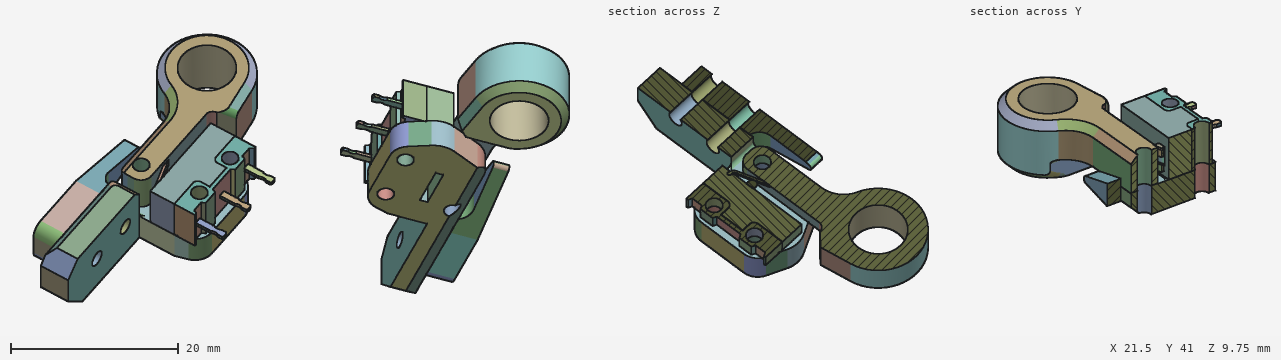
import cadquery as cq
import math

tolerance = 0.05

bar_width = 3.98
bar_top = 9.0
bar_end_y = -35.0
bar_rear_y = -20.0
shelf_top = 3.98
edge_chamfer = 1.0
corner_radius = 1.0
screw_diameter = 2.0
screw_x = 2.0
screw_y = -16.75
cross_hole_ys = (-22.95, -28.95)
cross_hole_z = 5.0

ring_radius = 6.0
ring_bore = 7.0
ring_bottom = 1.0
ring_front_y = -5.0
neck_radius = 4.0
arm_end_y = -19.0
arm_end_radius = 1.5
lobe_tangent_angle = math.radians(8.5)
lobe_inner_radius = 0.9
step_radius = 0.5

bar_nose_top = 2.0
bar_nose_bottom = 3.0
lower_chamfer = 2.0
shelf_fillet = 0.5
shelf_right_x = 12.5
shelf_peak = (7.1, -6.2)
shelf_slope = math.tan(math.radians(25))
shelf_front_rise = 1.02
shelf_left_radius = 3.5
shelf_right_radius = 2.5
slot_left_x = 5.35
slot_width = 1.0
slot_y_min = -16.4
slot_y_max = -11.25

wing_thickness = 3.5
wing_blade = 2.0
wing_tip_y = -12.1
wing_front_y = -31.5
wing_taper_y = -22.5
wing_half_height = 3.0
wing_tip_half_height = 0.4
wing_tip_radius = 0.5
wing_corner_radius = 1.5
wing_relief_radius = 2.0
wing_relief_y = -18.57

switch_left_x = 5.55
switch_right_x = 12.0
switch_top = 9.75
switch_length = 12.75
switch_mid_y = bar_rear_y + switch_length / 2
switch_mid_z = (shelf_top + switch_top) / 2
parting_x = 9.0
tongue_x = 11.0
mount_x = 10.5
mount_offset = 3.25
mount_ys = (switch_mid_y - mount_offset, switch_mid_y + mount_offset)
mount_wall_radius = 1.48
tongue_corner_radius = 0.65
rear_recess_x = 11.52
recess_slant = 0.25
mid_recess_half = 1.9
end_recess_near = 4.35
end_recess_far = 5.82

plunger_left_x = 4.55
plunger_y_min = -16.15
plunger_y_max = -14.95
plunger_height = 2.55
lever_slot_height = 1.05
plunger_radius = 0.57
lever_height = 3.08
lever_thickness = 0.35
lever_foot_y = -18.78
lever_angle = math.radians(17.5)
lever_bend_x = 5.4
lever_bend_radius = 0.35
lever_root_depth = 0.5
terminal_tip_x = 15.5
terminal_width = 0.85
terminal_thickness = 0.45
terminal_pitch = 5.1
neck_start_x = 13.7
neck_end_x = 14.7
neck_depth = 0.145
tip_bulge = 0.12


def block(x_min, x_max, y_min, y_max, z_min, z_max):
    """Axis-aligned box given by its limits."""
    size = (x_max - x_min, y_max - y_min, z_max - z_min)
    return cq.Workplane("XY").box(*size, centered=False).translate((x_min, y_min, z_min))


def upright_hole(x, y, diameter=screw_diameter):
    """Vertical cutter longer than the whole assembly is high."""
    return cq.Workplane("XY").center(x, y).circle(diameter / 2).extrude(switch_top)


def cross_holes():
    """The two holes along X through the wing and the bar."""
    points = [(y, cross_hole_z) for y in cross_hole_ys]
    return (
        cq.Workplane("YZ", origin=(-wing_thickness, 0, 0))
        .pushPoints(points)
        .circle(screw_diameter / 2)
        .extrude(wing_thickness + bar_width)
    )


def edges_in_box(x_limits, y_limits, z_limits):
    """Selector for the edges whose middle lies inside the box."""
    lows, highs = zip(x_limits, y_limits, z_limits)
    return cq.selectors.BoxSelector(lows, highs)


def vertical_edge_at(x, y):
    """Selector for the vertical edge through (x, y)."""
    return edges_in_box(
        (x - tolerance, x + tolerance),
        (y - tolerance, y + tolerance),
        (0, switch_top),
    )


def hollow_fillet(plane, corner, radius, side=1):
    """Section of a hollow fillet; side = 1 fills right of and above the corner, -1 left of and below."""
    across, up = corner
    reach = side * radius
    bend = reach * (1 - math.sqrt(0.5))
    return (
        cq.Workplane(plane)
        .moveTo(across, up)
        .lineTo(across + reach, up)
        .threePointArc((across + bend, up + bend), (across, up + reach))
        .close()
    )


def arm_plan():
    """Closed plan of ring, neck and right-hand lobe, together with the tip point of the lobe."""
    neck_y = -math.sqrt((ring_radius + neck_radius) ** 2 - neck_radius**2)
    neck_share = ring_radius / (ring_radius + neck_radius)
    neck_join = (-neck_radius * neck_share, neck_y * neck_share)
    neck_turn = math.atan2(-neck_y, neck_radius) / 2
    neck_mid = (
        -neck_radius + neck_radius * math.cos(neck_turn),
        neck_y + neck_radius * math.sin(neck_turn),
    )
    lobe_start = (
        ring_radius * math.cos(lobe_tangent_angle),
        ring_radius * math.sin(lobe_tangent_angle),
    )
    slant_start = (bar_width + lobe_inner_radius, ring_front_y)
    cos_a = math.cos(lobe_tangent_angle)
    sin_a = math.sin(lobe_tangent_angle)
    slant_run = (ring_radius - slant_start[0] * cos_a - slant_start[1] * sin_a) / (cos_a + sin_a)
    lobe_tip = (slant_start[0] + slant_run, slant_start[1] + slant_run)
    fillet_turn = lobe_inner_radius * (1 - math.sqrt(0.5))
    plan = (
        cq.Workplane("XY")
        .moveTo(0, arm_end_y)
        .lineTo(0, neck_y)
        .threePointArc(neck_mid, neck_join)
        .threePointArc((0, ring_radius), lobe_start)
        .lineTo(*lobe_tip)
        .lineTo(*slant_start)
        .threePointArc(
            (bar_width + fillet_turn, ring_front_y - fillet_turn),
            (bar_width, ring_front_y - lobe_inner_radius),
        )
        .lineTo(bar_width, arm_end_y)
        .close()
    )
    return plan, lobe_tip


def rim_edges(z):
    """Left side, neck, ring and lobe side of the arm outline at height z."""
    z_limits = (z - tolerance, z + tolerance)
    left_side = edges_in_box((-ring_radius, edge_chamfer), (arm_end_y, ring_radius), z_limits)
    lobe_side = edges_in_box((edge_chamfer, 2 * ring_radius), (-ring_radius / 2, ring_radius), z_limits)
    return left_side + lobe_side


def make_arm():
    """Chamfered clamp ring on a flat arm, bored for the shaft and drilled for the screw."""
    plan, lobe_tip = arm_plan()
    arm = plan.extrude(bar_top - ring_bottom).translate((0, 0, ring_bottom))
    arm = arm.edges(rim_edges(bar_top)).chamfer(edge_chamfer)
    arm = arm.edges(rim_edges(ring_bottom)).chamfer(edge_chamfer)
    outer_shape = arm
    arm = arm.cut(block(-bar_width, 2 * bar_width, 2 * arm_end_y, ring_front_y, 0, shelf_top))
    step_corner = edges_in_box(
        (-ring_radius, 0),
        (ring_front_y - tolerance, ring_front_y + tolerance),
        (ring_bottom + tolerance, ring_bottom + edge_chamfer),
    )
    arm = arm.edges(step_corner).fillet(corner_radius)
    step = hollow_fillet("YZ", (ring_front_y, shelf_top), step_radius, -1).extrude(ring_radius, both=True)
    arm = arm.union(step.intersect(outer_shape))
    tip_x, tip_y = lobe_tip
    tip_edges = edges_in_box(
        (tip_x - edge_chamfer, tip_x),
        (tip_y - edge_chamfer, tip_y),
        (bar_top - edge_chamfer + tolerance, bar_top - tolerance),
    )
    arm = arm.edges(tip_edges).fillet(corner_radius)
    end_corners = vertical_edge_at(0, arm_end_y) + vertical_edge_at(bar_width, arm_end_y)
    arm = arm.edges(end_corners).fillet(arm_end_radius)
    bore = upright_hole(0, 0, ring_bore)
    return arm.cut(bore).cut(upright_hole(screw_x, screw_y))


def make_bar():
    """Long bar, chamfered on the left and at the nose, and rounded where the rear and left chamfers meet."""
    bar = block(0, bar_width, bar_end_y, bar_rear_y, 0, bar_top)
    bar = bar.edges(">Y and >Z").chamfer(edge_chamfer)
    bar = bar.edges("<Y and >Z").chamfer(bar_nose_top)
    bar = bar.edges("<Y and <Z").chamfer(bar_nose_bottom)
    left_wedge = (
        cq.Workplane("XZ")
        .polyline([(0, bar_top - edge_chamfer), (edge_chamfer, bar_top), (0, bar_top)])
        .close()
        .extrude(-bar_end_y)
    )
    bar = bar.cut(left_wedge)
    rear_corner = edges_in_box(
        (0, edge_chamfer),
        (bar_rear_y - edge_chamfer, bar_rear_y),
        (bar_top - edge_chamfer + tolerance, bar_top - tolerance),
    )
    return bar.edges(rear_corner).fillet(corner_radius)


def make_shelf():
    """Flat shelf behind the bar that carries the arm and the switch."""
    peak_x, peak_y = shelf_peak
    left_y = peak_y - peak_x * shelf_slope
    right_y = peak_y - (shelf_right_x - peak_x) * shelf_slope
    lower_right_y = bar_rear_y + shelf_front_rise
    outline = [
        (0, bar_rear_y),
        (parting_x, bar_rear_y),
        (shelf_right_x, lower_right_y),
        (shelf_right_x, right_y),
        shelf_peak,
        (0, left_y),
    ]
    shelf = cq.Workplane("XY").polyline(outline).close().extrude(shelf_top)
    shelf = shelf.edges(vertical_edge_at(0, left_y) + vertical_edge_at(*shelf_peak)).fillet(shelf_left_radius)
    right_corners = vertical_edge_at(shelf_right_x, lower_right_y) + vertical_edge_at(shelf_right_x, right_y)
    shelf = shelf.edges(right_corners).fillet(shelf_right_radius)
    slot = block(slot_left_x, slot_left_x + slot_width, slot_y_min, slot_y_max, 0, shelf_top)
    return shelf.cut(slot)


def shelf_root_fillet():
    """Hollow fillet between the shelf and the rear of the bar, mitred round the bar's right edge."""
    behind_bar = hollow_fillet("YZ", (bar_rear_y, shelf_top), shelf_fillet).extrude(bar_width + shelf_fillet)
    mitre = hollow_fillet("XZ", (bar_width, shelf_top), shelf_fillet).extrude(bar_rear_y * 2, both=True)
    mitre = mitre.union(block(0, bar_width, 2 * bar_rear_y, 0, shelf_top, bar_top))
    return behind_bar.intersect(mitre)


def make_bracket():
    """Bar and shelf in one piece, with the drilled holes and the long lower chamfer."""
    bracket = make_bar().union(make_shelf()).union(shelf_root_fillet())
    lower_wedge = (
        cq.Workplane("XZ")
        .polyline([(0, 0), (lower_chamfer, 0), (0, lower_chamfer)])
        .close()
        .extrude(-bar_end_y)
    )
    bracket = bracket.cut(lower_wedge).cut(cross_holes())
    for mount_y in mount_ys:
        bracket = bracket.cut(upright_hole(mount_x, mount_y))
    return bracket.cut(upright_hole(screw_x, screw_y))


def make_wing():
    """Tapered plate beside the bar, thinned to a blade where it passes the arm."""
    top = cross_hole_z + wing_half_height
    bottom = cross_hole_z - wing_half_height
    outline = [
        (wing_front_y, bottom),
        (wing_taper_y, bottom),
        (wing_tip_y, cross_hole_z - wing_tip_half_height),
        (wing_tip_y, cross_hole_z + wing_tip_half_height),
        (wing_taper_y, top),
        (wing_front_y, top),
    ]
    outer_side = cq.Workplane("YZ", origin=(-wing_thickness, 0, 0))
    wing = outer_side.polyline(outline).close().extrude(wing_thickness)
    wing = wing.edges("|X and <Y").fillet(wing_corner_radius)
    wing = wing.edges("|X and >Y").fillet(wing_tip_radius)
    blade_x = wing_blade - wing_thickness
    relief = block(blade_x, 0, wing_relief_y, 0, 0, bar_top)
    relief_round = (
        cq.Workplane("XY")
        .center(blade_x + wing_relief_radius, wing_relief_y)
        .circle(wing_relief_radius)
        .extrude(bar_top)
    )
    return wing.cut(relief).cut(relief_round).cut(cross_holes())


def case_region():
    """Front half of the switch plus the tongue between the two mounting holes."""
    front = block(
        switch_left_x, parting_x, bar_rear_y, bar_rear_y + switch_length, shelf_top, switch_top
    )
    tongue_half = mount_offset - mount_wall_radius
    tongue = block(
        parting_x, tongue_x, switch_mid_y - tongue_half, switch_mid_y + tongue_half, shelf_top, switch_top
    )
    region = front.union(tongue)
    for side in (-1, 1):
        region = region.edges(vertical_edge_at(parting_x, switch_mid_y + side * tongue_half)).fillet(
            tongue_corner_radius
        )
    return region


def make_case():
    """Switch case with a pocket for the root of the lever."""
    return case_region().cut(lever_blank())


def rear_recess(y_near, y_far):
    """Recess with slanted ends in the back of the switch cover."""
    outline = [
        (switch_right_x, y_near - recess_slant),
        (rear_recess_x, y_near),
        (rear_recess_x, y_far),
        (switch_right_x, y_far + recess_slant),
    ]
    return (
        cq.Workplane("XY", origin=(0, 0, shelf_top))
        .polyline(outline)
        .close()
        .extrude(switch_top - shelf_top)
    )


def make_cover():
    """Back half of the switch with its mounting holes and terminal recesses."""
    cover = block(
        parting_x, switch_right_x, bar_rear_y, bar_rear_y + switch_length, shelf_top, switch_top
    ).cut(case_region())
    cover = cover.cut(rear_recess(switch_mid_y - mid_recess_half, switch_mid_y + mid_recess_half))
    cover = cover.cut(rear_recess(switch_mid_y + end_recess_near, switch_mid_y + end_recess_far))
    cover = cover.cut(rear_recess(switch_mid_y - end_recess_far, switch_mid_y - end_recess_near))
    for mount_y in mount_ys:
        cover = cover.cut(upright_hole(mount_x, mount_y))
    return cover


def make_plunger():
    z_min = switch_mid_z - plunger_height / 2
    plunger = block(
        plunger_left_x, switch_left_x, plunger_y_min, plunger_y_max, z_min, z_min + plunger_height
    )
    return plunger.edges("|Z and <X").fillet(plunger_radius)


def lever_blank():
    """Full-height leaf spring from the arm to its root inside the switch case."""
    side_x = lever_thickness / math.cos(lever_angle)
    foot_top = lever_foot_y + lever_thickness

    def leaf_y(x):
        return foot_top + (lever_bend_x - x) / math.tan(lever_angle)

    root_x = switch_left_x + lever_root_depth
    foot_x = lever_bend_x - side_x + lever_thickness * math.tan(lever_angle)
    outline = [
        (bar_width, leaf_y(bar_width)),
        (lever_bend_x, foot_top),
        (root_x, foot_top),
        (root_x, lever_foot_y),
        (foot_x, lever_foot_y),
        (bar_width, leaf_y(bar_width + side_x)),
    ]
    z_min = switch_mid_z - lever_height / 2
    lever = cq.Workplane("XY", origin=(0, 0, z_min)).polyline(outline).close().extrude(lever_height)
    lever = lever.edges(vertical_edge_at(foot_x, lever_foot_y)).fillet(lever_bend_radius + lever_thickness)
    return lever.edges(vertical_edge_at(lever_bend_x, foot_top)).fillet(lever_bend_radius)


def make_lever():
    """Leaf spring split by a central slot, its two prongs joined at the root in the case."""
    z_min = switch_mid_z - lever_slot_height / 2
    slot = block(bar_width, switch_left_x, bar_rear_y, 0, z_min, z_min + lever_slot_height)
    return lever_blank().cut(slot)


def make_terminal(mid_y):
    """Flat tab with a necked, slightly rounded end."""
    half = terminal_width / 2
    neck_mid_x = (neck_start_x + neck_end_x) / 2
    tip_x = terminal_tip_x - tip_bulge
    return (
        cq.Workplane("XY", origin=(0, mid_y, switch_mid_z - terminal_thickness / 2))
        .moveTo(rear_recess_x, -half)
        .lineTo(neck_start_x, -half)
        .threePointArc((neck_mid_x, neck_depth - half), (neck_end_x, -half))
        .lineTo(tip_x, -half)
        .threePointArc((terminal_tip_x, 0), (tip_x, half))
        .lineTo(neck_end_x, half)
        .threePointArc((neck_mid_x, half - neck_depth), (neck_start_x, half))
        .lineTo(rear_recess_x, half)
        .close()
        .extrude(terminal_thickness)
    )


arm = make_arm()
bracket = make_bracket()
wing = make_wing()
case = make_case()
cover = make_cover()
plunger = make_plunger()
lever = make_lever()
terminals = [make_terminal(switch_mid_y + step * terminal_pitch).val() for step in (-1, 0, 1)]

result = cq.Compound.makeCompound(
    [
        arm.solids().val(),
        bracket.solids().val(),
        wing.solids().val(),
        case.solids().val(),
        cover.solids().val(),
        plunger.solids().val(),
        lever.solids().val(),
        *terminals,
    ]
)